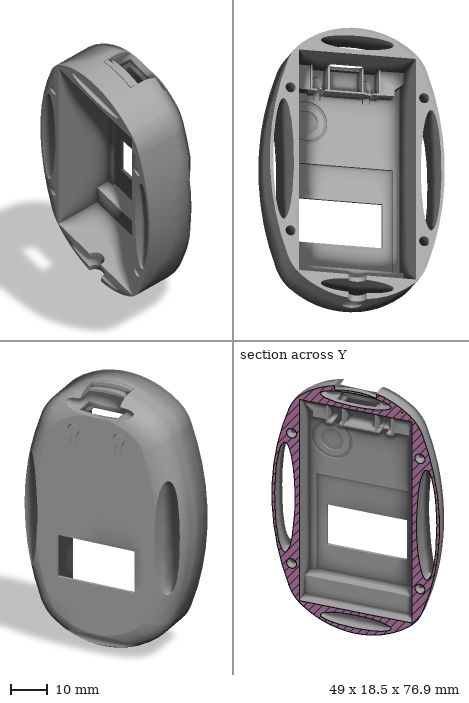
import cadquery as cq
import math

width = 49.0
height = 76.87
depth = 18.5
side_radius = 78.5
end_radius = 25.0
corner_radius = 12.3
back_round_start = 11.1
back_round_radius = 7.6

cavity_width = 32.7
cavity_top = 31.0
cavity_bottom = -31.6
floor_y = 16.9
ledge_y = 13.1
ledge_top = -25.8

recess_width = 29.0
recess_top = 4.4
recess_depth = 0.8
window_width = 23.4
window_top = -5.2
window_bottom = -17.7

feature_z = -0.25
side_slot_x = 20.65
side_slot_width = 5.8
side_slot_length = 34.1
end_slot_offset = 34.5
end_slot_width = 3.9
end_slot_length = 20.4
screw_x = 18.7
screw_offset = 20.3
screw_diameter = 2.8
screw_depth = 12.0

cable_notch_diameter = 5.0
bottom_hole_diameter = 5.5
bottom_hole_y = 5.5

buzzer_x = -9.85
buzzer_z = 16.0
buzzer_outer_diameter = 11.87
buzzer_inner_diameter = 10.0
buzzer_center_diameter = 6.54
buzzer_seat_depth = 0.4

support_bottom = 24.2
support_shoulder_x = 13.9
support_shoulder_z = 25.9
support_wall_z = 27.8

frame_half_width = 9.75
frame_y = 12.0
frame_wall = 0.46
divider_x = 4.75
sill_height = 0.46
sill_y = 14.0

button_x = 6.9
button_z = 27.25
button_diameter = 3.3
tongue_width = 1.85
tongue_bottom = 22.4
kerf = 0.2
button_nub_height = 0.4

port_pocket_width = 12.1
port_pocket_start = 8.75
port_pocket_end = 16.5
port_floor_z = 31.5
port_step_y = 10.56
port_step_depth = 1.4
port_width = 9.4
port_end = 15.2
groove_y = 7.35
groove_width = 0.2
groove_depth = 0.5


def block(x0, x1, y0, y1, z0, z1):
    """Box given by its limits along each axis."""
    return cq.Workplane("XY").box(x1 - x0, y1 - y0, z1 - z0, centered=False).translate((x0, y0, z0))


def centered_block(full_width, y0, y1, z0, z1):
    """Box symmetric about X = 0."""
    return block(-full_width / 2, full_width / 2, y0, y1, z0, z1)


def rod(diameter, x, z, y0, y1):
    """Cylinder along Y."""
    return cq.Workplane("XZ", origin=(x, y0, z)).circle(diameter / 2).extrude(y0 - y1)


def arc_point(center, radius, angle):
    """Point (x, z) on a circle at the given angle from the X axis."""
    return (center[0] + radius * math.cos(angle), center[1] + radius * math.sin(angle))


def outline_prism(length):
    """Prism along Y with two side arcs, two end arcs and four tangent corner arcs."""
    side_center = (width / 2 - side_radius, 0)
    end_center = (0, height / 2 - end_radius)
    side_reach = side_radius - corner_radius
    end_reach = end_radius - corner_radius
    spacing = math.dist(side_center, end_center)
    spread = math.acos((side_reach**2 + spacing**2 - end_reach**2) / (2 * side_reach * spacing))
    side_angle = math.atan2(end_center[1], -side_center[0]) + spread
    corner_center = arc_point(side_center, side_reach, side_angle)
    end_angle = math.atan2(corner_center[1] - end_center[1], corner_center[0])

    side_x, side_z = arc_point(side_center, side_radius, side_angle)
    end_x, end_z = arc_point(end_center, end_radius, end_angle)
    mid_x, mid_z = arc_point(corner_center, corner_radius, (side_angle + end_angle) / 2)
    return (
        cq.Workplane("XZ")
        .moveTo(-end_x, end_z)
        .threePointArc((0, height / 2), (end_x, end_z))
        .threePointArc((mid_x, mid_z), (side_x, side_z))
        .threePointArc((width / 2, 0), (side_x, -side_z))
        .threePointArc((mid_x, -mid_z), (end_x, -end_z))
        .threePointArc((0, -height / 2), (-end_x, -end_z))
        .threePointArc((-mid_x, -mid_z), (-side_x, -side_z))
        .threePointArc((-width / 2, 0), (-side_x, side_z))
        .threePointArc((-mid_x, mid_z), (-end_x, end_z))
        .close()
        .extrude(-length)
    )


def shell():
    """Outer body: rounded outline with a large round toward the back, cut flat at the back."""
    full_round_depth = back_round_start + back_round_radius
    body = outline_prism(full_round_depth)
    body = body.faces(">Y").edges().fillet(back_round_radius)
    return body.intersect(centered_block(2 * width, 0, depth, -height, height))


def cavity():
    """Rectangular cavity, leaving the raised ledge along its bottom."""
    space = centered_block(cavity_width, 0, floor_y, cavity_bottom, cavity_top)
    return space.cut(centered_block(cavity_width, ledge_y, floor_y, cavity_bottom, ledge_top))


def display_opening():
    recess = centered_block(recess_width, floor_y, floor_y + recess_depth, ledge_top, recess_top)
    return recess.union(centered_block(window_width, floor_y, depth, window_bottom, window_top))


def oval(x, z, size_x, size_z):
    """Elliptical opening through the full depth."""
    return cq.Workplane("XZ", origin=(x, 0, z)).ellipse(size_x / 2, size_z / 2).extrude(-depth)


def rim_openings():
    """Four oval slots and four blind screw holes around the rim."""
    cutters = cq.Workplane("XY")
    for sign in (1, -1):
        cutters = cutters.add(oval(sign * side_slot_x, feature_z, side_slot_width, side_slot_length))
        cutters = cutters.add(oval(0, feature_z + sign * end_slot_offset, end_slot_length, end_slot_width))
        for x in (screw_x, -screw_x):
            cutters = cutters.add(rod(screw_diameter, x, feature_z + sign * screw_offset, 0, screw_depth))
    return cutters.combine()


def cable_notch():
    length = cavity_bottom + height / 2
    notch = cq.Workplane("XY", origin=(0, 0, -height / 2))
    return notch.circle(cable_notch_diameter / 2).extrude(length)


def bottom_hole():
    """Hole from the outside of the bottom wall into the lower end slot."""
    slot_z = feature_z - end_slot_offset
    hole = cq.Workplane("XY", origin=(0, bottom_hole_y, -height / 2))
    return hole.circle(bottom_hole_diameter / 2).extrude(slot_z + height / 2)


def buzzer_seat():
    """Ring groove around a shallow round recess."""
    seat_end = floor_y + buzzer_seat_depth
    ring = rod(buzzer_outer_diameter, buzzer_x, buzzer_z, floor_y, seat_end)
    ring = ring.cut(rod(buzzer_inner_diameter, buzzer_x, buzzer_z, floor_y, seat_end))
    return ring.union(rod(buzzer_center_diameter, buzzer_x, buzzer_z, floor_y, seat_end))


def board_support():
    """Stepped support block with the thin-walled frame in its middle."""
    half = cavity_width / 2
    support = (
        cq.Workplane("XZ", origin=(0, ledge_y, 0))
        .moveTo(-half, cavity_top)
        .lineTo(-half, support_wall_z)
        .lineTo(-support_shoulder_x, support_shoulder_z)
        .lineTo(-support_shoulder_x, support_bottom)
        .lineTo(support_shoulder_x, support_bottom)
        .lineTo(support_shoulder_x, support_shoulder_z)
        .lineTo(half, support_wall_z)
        .lineTo(half, cavity_top)
        .close()
        .extrude(ledge_y - floor_y)
    )
    frame_bottom = support_bottom - frame_wall
    support = support.union(centered_block(2 * frame_half_width, frame_y, floor_y, frame_bottom, cavity_top))

    bay_inner = divider_x + frame_wall / 2
    bay_outer = frame_half_width - frame_wall
    port_bay_width = 2 * divider_x - frame_wall
    support = support.cut(centered_block(port_bay_width, frame_y, floor_y, support_bottom, cavity_top))
    for x0, x1 in ((bay_inner, bay_outer), (-bay_outer, -bay_inner)):
        support = support.cut(block(x0, x1, frame_y, floor_y, support_bottom, cavity_top))

    sill_top = support_bottom + sill_height
    support = support.union(block(bay_inner, bay_outer, sill_y, floor_y, support_bottom, sill_top))
    for x in (button_x, -button_x):
        tongue_gap = centered_block(tongue_width, frame_y, floor_y, frame_bottom, support_bottom)
        nub = rod(button_diameter, x, button_z, floor_y - button_nub_height, floor_y)
        support = support.cut(tongue_gap.translate((x, 0, 0))).union(nub)
    return support


def button_profile(x, margin):
    """Round button head with its tongue, grown outward by margin."""
    head = rod(button_diameter + 2 * margin, x, button_z, frame_y, depth)
    half = tongue_width / 2 + margin
    return head.union(block(x - half, x + half, frame_y, depth, tongue_bottom, button_z))


def button_kerf(x):
    """Narrow cut around a button that leaves it hinged at the foot of its tongue."""
    return button_profile(x, kerf / 2).cut(button_profile(x, -kerf / 2))


def port_pocket():
    """Recess in the top wall with a port opening into the cavity."""
    top = height / 2
    half = port_pocket_width / 2
    pocket = centered_block(port_pocket_width, port_step_y, port_pocket_end, port_floor_z, top)
    step = block(-half, half, port_pocket_start, port_step_y, port_floor_z, top)
    step_floor = rod(2 * (end_radius - port_step_depth), 0, top - end_radius, 0, depth)
    port = centered_block(port_width, port_step_y, port_end, cavity_top, top)
    return pocket.union(step.cut(step_floor)).union(port)


def seam_groove():
    """Hairline groove around the strip of top wall in front of the port pocket."""
    top = height / 2
    groove_floor = rod(2 * (end_radius - groove_depth), 0, top - end_radius, 0, depth)
    band = centered_block(port_pocket_width, groove_y, port_pocket_start, port_floor_z, top)
    strip_width = port_pocket_width - 2 * groove_width
    strip = centered_block(strip_width, groove_y + groove_width, port_pocket_start, port_floor_z, top)
    return band.cut(strip).cut(groove_floor)


interior = cavity().cut(board_support())
result = shell().cut(interior).cut(display_opening()).cut(buzzer_seat())
for side in (1, -1):
    result = result.cut(button_kerf(side * button_x))
result = result.cut(rim_openings()).cut(cable_notch()).cut(bottom_hole())
result = result.cut(port_pocket()).cut(seam_groove())